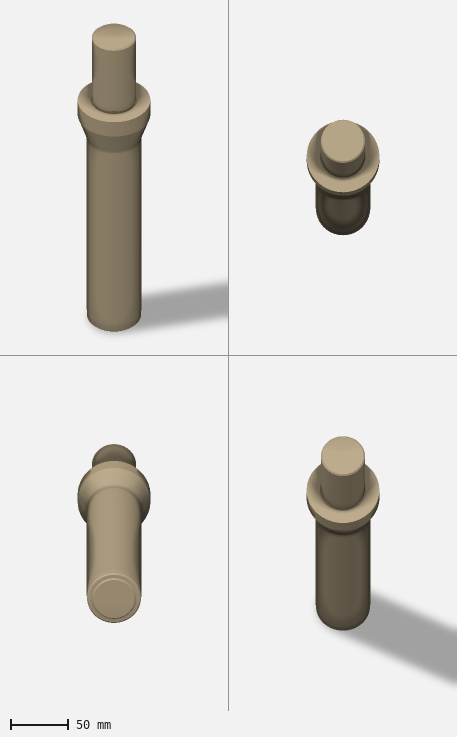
import cadquery as cq

total_length = 307.3

rod_radius = 19.0
rod_chamfer = 1.2
neck_radius = 18.0
neck_taper = 1.0
neck_height = 1.8

sleeve_radius = 23.7
sleeve_bottom = 1.2
sleeve_top = 237.5
end_chamfer = 1.2
end_band_top = 9.5
end_band_radius = 23.5
collar_diameter = 63.0
collar_radius = collar_diameter / 2
collar_height = 15.7
cone_bottom = 198.5
cone_blend_radius = 6.0
mouth_radius = 20.0
mouth_depth = 1.2


def make_rod():
    """Revolve the rod, with the neck just above the collar face."""
    neck_top = sleeve_top + neck_height
    profile = [
        (0, 0),
        (rod_radius - rod_chamfer, 0),
        (rod_radius, rod_chamfer),
        (rod_radius, sleeve_top - mouth_depth),
        (neck_radius, sleeve_top - mouth_depth),
        (neck_radius, neck_top - neck_taper),
        (rod_radius, neck_top),
        (rod_radius, total_length - rod_chamfer),
        (rod_radius - rod_chamfer, total_length),
        (0, total_length),
    ]
    return cq.Workplane("XZ").polyline(profile).close().revolve(360, (0, 0), (0, 1))


def make_sleeve():
    """Revolve the sleeve around a bore that fits the rod."""
    collar_bottom = sleeve_top - collar_height
    profile = [
        (rod_radius, sleeve_bottom),
        (end_band_radius - end_chamfer, sleeve_bottom),
        (end_band_radius, sleeve_bottom + end_chamfer),
        (sleeve_radius, end_band_top),
        (sleeve_radius, cone_bottom),
        (collar_radius, collar_bottom),
        (collar_radius, sleeve_top),
        (mouth_radius, sleeve_top),
        (rod_radius, sleeve_top - mouth_depth),
    ]
    sleeve = cq.Workplane("XZ").polyline(profile).close().revolve(360, (0, 0), (0, 1))
    return blend_cone(sleeve)


def blend_cone(sleeve):
    """Round the inside corner where the cone runs into the tube."""
    window = 0.3
    corner = cq.selectors.BoxSelector(
        (-collar_radius, -collar_radius, cone_bottom - window),
        (collar_radius, collar_radius, cone_bottom + window),
        boundingbox=True,
    )
    return sleeve.edges("%CIRCLE").edges(corner).fillet(cone_blend_radius)


rod = make_rod()
sleeve = make_sleeve()

result = cq.Compound.makeCompound([rod.val(), sleeve.val()])